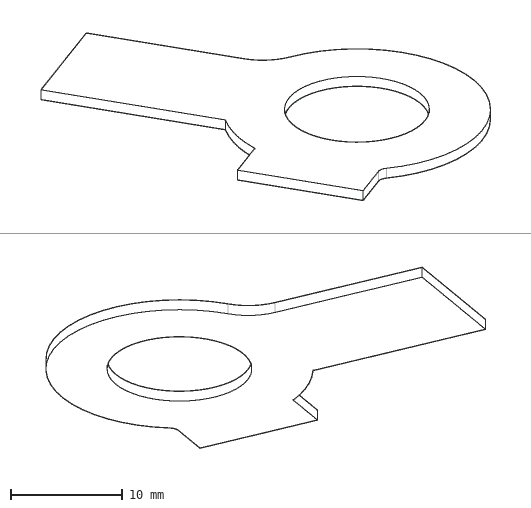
import cadquery as cq
import math

thickness = 1.0
ring_diameter = 24.0
hole_diameter = 13.0
tab_width = 12.0
long_tab_reach = 28.0
short_tab_reach = 15.0
long_tab_fillet = 5.0
short_tab_fillet = 1.0

ring_radius = ring_diameter / 2
half_width = tab_width / 2
corner_reach = math.sqrt(ring_radius**2 - half_width**2)


def plate(length, width, center_x, center_y):
    """Rectangular plate standing on the base plane."""
    return (
        cq.Workplane("XY")
        .center(center_x, center_y)
        .rect(length, width)
        .extrude(thickness)
    )


def fillet_corner(body, x, y, radius):
    """Round the vertical edge nearest to the given corner."""
    corner = cq.selectors.NearestToPointSelector((x, y, thickness / 2))
    return body.edges("|Z").edges(corner).fillet(radius)


disc = cq.Workplane("XY").circle(ring_radius).extrude(thickness)
long_tab = plate(long_tab_reach, tab_width, -long_tab_reach / 2, 0)
short_tab = plate(tab_width, short_tab_reach, 0, -short_tab_reach / 2)
body = disc.union(long_tab).union(short_tab)

body = fillet_corner(body, -corner_reach, half_width, long_tab_fillet)
body = fillet_corner(body, half_width, -corner_reach, short_tab_fillet)

hole = cq.Workplane("XY").circle(hole_diameter / 2).extrude(thickness)
result = body.cut(hole)